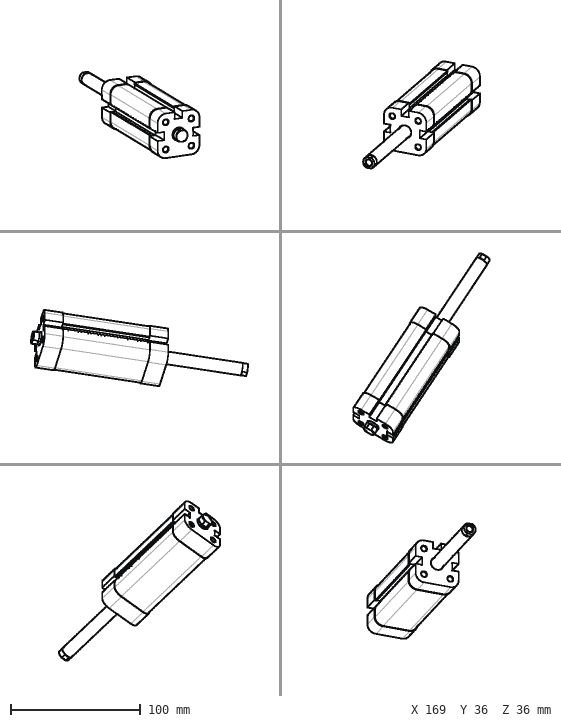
import cadquery as cq
import math

overall_length = 169.0
rod_start = -overall_length / 2
front_reach = 65.7
cap_length = 14.4
barrel_length = 68.5
front_cap_start = rod_start + front_reach
barrel_start = front_cap_start + cap_length
rear_cap_start = barrel_start + barrel_length

cap_size = 36.0
barrel_size = 35.0
screw_pitch = 22.0
screw_hole_diameter = 4.2
screw_hole_chamfer = 0.42
bore_chamfer = 0.3

cap_slot_width = 6.6
cap_slot_floor = 12.5
barrel_slot_width = 6.6
barrel_slot_floor = 13.2
lip_gap = 5.5
lip_thickness = 1.0
slot_directions = (-90, 0, 90)

rod_diameter = 10.0
end_diameter = 9.8
flat_spacing = 9.0
end_length = 4.2
shoulder_gap = 0.3
rear_end_length = 4.5
rear_chamfer_length = 0.5
rear_chamfer_depth = 0.2
thread_diameter = 5.0
thread_depth = 10.1
thread_chamfer = 0.5
drill_tip_angle = 118.0


def x_cylinder(start, length, diameter):
    """Cylinder on the X axis."""
    return cq.Workplane("YZ", origin=(start, 0, 0)).circle(diameter / 2).extrude(length)


def slot_cutter(start, length, width, inner, outer):
    """Straight bar for one slot at the top, between two heights above the axis."""
    return cq.Workplane("XY").box(length, width, outer - inner, centered=(False, True, False)).translate(
        (start, 0, inner)
    )


def cut_slots(body, cutter):
    """Cut the same slot in the top and in both sides."""
    for direction in slot_directions:
        body = body.cut(cutter.rotate((0, 0, 0), (1, 0, 0), direction))
    return body


def rounded_block(start, length, size):
    """Square bar with rounded edges, four screw holes and the rod bore."""
    corner_radius = (size - screw_pitch) / 2
    block = (
        cq.Workplane("YZ", origin=(start, 0, 0))
        .rect(size, size)
        .extrude(length)
        .edges("|X")
        .fillet(corner_radius)
    )
    screw_holes = (
        cq.Workplane("YZ", origin=(start, 0, 0))
        .rect(screw_pitch, screw_pitch, forConstruction=True)
        .vertices()
        .circle(screw_hole_diameter / 2)
        .extrude(length)
    )
    return block.cut(screw_holes).cut(x_cylinder(start, length, rod_diameter))


def chamfer_mouths(cap, outer_side, hole_diameter, chamfer):
    """Chamfer every hole of one diameter where it opens on the outer face of a cap."""
    mouths = cap.faces(outer_side).edges("%CIRCLE").filter(
        lambda edge: math.isclose(edge.radius(), hole_diameter / 2)
    )
    return mouths.chamfer(chamfer)


def make_cap(start, outer_side):
    """End cap with plain slots and chamfered hole mouths on its outer face, "<X" or ">X"."""
    cap = rounded_block(start, cap_length, cap_size)
    cap = chamfer_mouths(cap, outer_side, screw_hole_diameter, screw_hole_chamfer)
    cap = chamfer_mouths(cap, outer_side, rod_diameter, bore_chamfer)
    slot = slot_cutter(start, cap_length, cap_slot_width, cap_slot_floor, cap_size / 2)
    return cut_slots(cap, slot)


def make_barrel():
    """Barrel with slots that narrow at the mouth."""
    barrel = rounded_block(barrel_start, barrel_length, barrel_size)
    outer_face = barrel_size / 2
    lip_underside = outer_face - lip_thickness
    channel = slot_cutter(barrel_start, barrel_length, barrel_slot_width, barrel_slot_floor, lip_underside)
    mouth = slot_cutter(barrel_start, barrel_length, lip_gap, barrel_slot_floor, outer_face)
    return cut_slots(barrel, channel.union(mouth))


def cut_flats(rod, start, length):
    """Cut the wrench flats above and below one rod end."""
    band = cq.Workplane("XY").box(length, rod_diameter, rod_diameter, centered=(False, True, True))
    kept = cq.Workplane("XY").box(length, rod_diameter, flat_spacing, centered=(False, True, True))
    return rod.cut(band.cut(kept).translate((start, 0, 0)))


def make_rod():
    """Through rod with turned ends, wrench flats and a blind threaded hole in front."""
    rod_end = rod_start + overall_length
    flat_length = end_length - shoulder_gap
    rear_flat_length = rear_end_length - shoulder_gap
    rod_radius = rod_diameter / 2
    end_radius = end_diameter / 2
    thread_radius = thread_diameter / 2
    tip_depth = thread_radius / math.tan(math.radians(drill_tip_angle / 2))
    hole_end = rod_start + thread_depth

    profile = [
        (hole_end + tip_depth, 0),
        (hole_end, thread_radius),
        (rod_start + thread_chamfer, thread_radius),
        (rod_start, thread_radius + thread_chamfer),
        (rod_start, end_radius),
        (rod_start + end_length, end_radius),
        (rod_start + end_length, rod_radius),
        (rod_end - rear_end_length, rod_radius),
        (rod_end - rear_end_length, end_radius),
        (rod_end - rear_chamfer_length, end_radius),
        (rod_end, end_radius - rear_chamfer_depth),
        (rod_end, 0),
    ]
    rod = cq.Workplane("XY").polyline(profile).close().revolve(360, (0, 0, 0), (1, 0, 0))
    rod = cut_flats(rod, rod_start, flat_length)
    return cut_flats(rod, rod_end - rear_flat_length, rear_flat_length)


cap_places = [(front_cap_start, "<X"), (rear_cap_start, ">X")]
caps = [make_cap(start, outer_side) for start, outer_side in cap_places]
barrel = make_barrel()
rod = make_rod()

result = cq.Compound.makeCompound([*(cap.val() for cap in caps), barrel.val(), rod.val()])